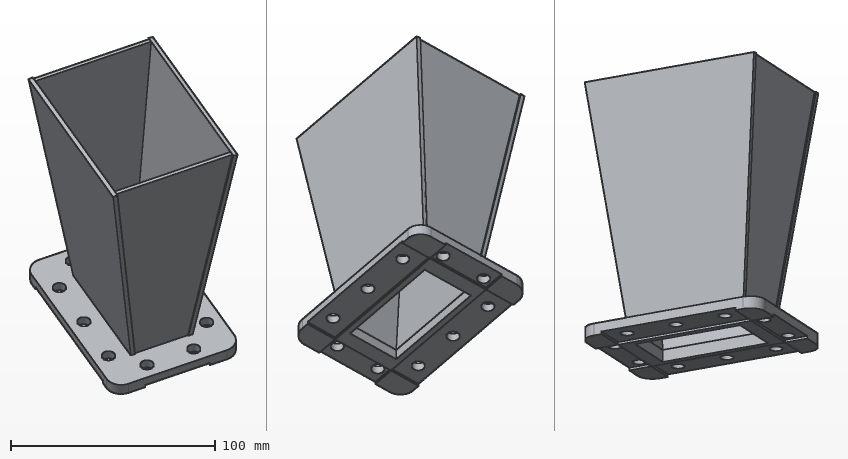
import cadquery as cq
import math

flange_length = 98.4
flange_width = 69.9
flange_thickness = 6.3
corner_radius = 8.0
overall_height = 133.4

bore_half_length = 29.1
bore_half_width = 14.5

pad_length = 73.9
pad_width = 35.2
relief_depth = 1.3

bolt_diameter = 6.5
long_row_pitch = 27.1
long_row_offset = 26.8
short_row_pitch = 25.5
short_row_offset = 41.2

mouth_half_length = 43.7
mouth_half_width = 31.6
broad_wall_thickness = 2.4
narrow_wall_width = 2.1
broad_wall_foot_half = 31.7
broad_wall_top_half = 46.8
horn_height = overall_height - flange_thickness


def make_flange():
    plate = (
        cq.Workplane("XY")
        .box(flange_length, flange_width, flange_thickness, centered=(True, True, False))
        .edges("|Z")
        .fillet(corner_radius)
    )
    bore = cq.Workplane("XY").rect(2 * bore_half_length, 2 * bore_half_width).extrude(flange_thickness)

    long_row = [(i * long_row_pitch, side * long_row_offset) for i in (-1, 0, 1) for side in (-1, 1)]
    short_row = [(side * short_row_offset, i * short_row_pitch / 2) for i in (-1, 1) for side in (-1, 1)]
    bolts = (
        cq.Workplane("XY")
        .pushPoints(long_row + short_row)
        .circle(bolt_diameter / 2)
        .extrude(flange_thickness)
    )

    pad = cq.Workplane("XY").rect(pad_length, pad_width).extrude(relief_depth)
    relief = (
        cq.Workplane("XY")
        .rect(pad_length, flange_width)
        .extrude(relief_depth)
        .union(cq.Workplane("XY").rect(flange_length, pad_width).extrude(relief_depth))
        .cut(pad)
    )
    return plate.cut(bore).cut(bolts).cut(relief)


def broad_wall_profile():
    """Section of a broad wall, leaning outward, flat at its foot and cut square at its top."""
    lean = math.atan2(mouth_half_width - bore_half_width, horn_height)
    top_overhang = broad_wall_thickness * math.cos(lean)
    top_drop = broad_wall_thickness * math.sin(lean)
    return cq.Workplane("YZ").polyline([
        (bore_half_width, flange_thickness),
        (bore_half_width + broad_wall_thickness / math.cos(lean), flange_thickness),
        (mouth_half_width + top_overhang, overall_height - top_drop),
        (mouth_half_width, overall_height),
    ]).close()


def narrow_wall_profile():
    """Section of a narrow wall, leaning outward, flat at both its foot and its top."""
    return cq.Workplane("XZ").polyline([
        (bore_half_length, flange_thickness),
        (bore_half_length + narrow_wall_width, flange_thickness),
        (mouth_half_length + narrow_wall_width, overall_height),
        (mouth_half_length, overall_height),
    ]).close()


def trapezoid(plane, foot_half, top_half):
    """Face outline of a wall, symmetric about the horn axis."""
    return cq.Workplane(plane).polyline([
        (-foot_half, flange_thickness),
        (foot_half, flange_thickness),
        (top_half, overall_height),
        (-top_half, overall_height),
    ]).close()


def make_broad_wall():
    """Wall on the +Y side, overlapping the ends of the narrow walls."""
    slab = broad_wall_profile().extrude(flange_length / 2, both=True)
    outline = trapezoid("XZ", broad_wall_foot_half, broad_wall_top_half)
    return slab.intersect(outline.extrude(flange_width / 2, both=True))


def make_narrow_wall():
    """Wall on the +X side, fitted between the inner faces of the broad walls."""
    slab = narrow_wall_profile().extrude(flange_width / 2, both=True)
    outline = trapezoid("YZ", bore_half_width, mouth_half_width)
    return slab.intersect(outline.extrude(flange_length / 2, both=True))


flange = make_flange()
walls = []
for turn in (0, 180):
    for wall in (make_broad_wall(), make_narrow_wall()):
        walls.append(wall.rotate((0, 0, 0), (0, 0, 1), turn).val())

result = cq.Compound.makeCompound([flange.val(), *walls])